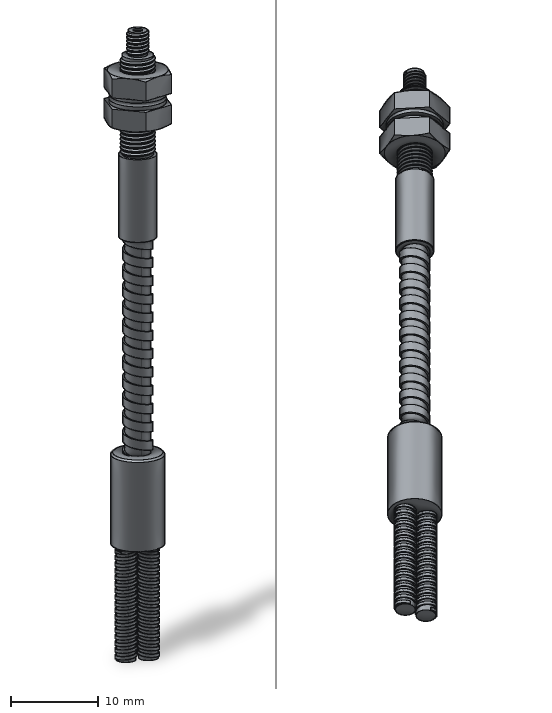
import cadquery as cq
TAIL_LENGTH = 14.0
COLLAR_LENGTH = 11.0
ARMOUR_LENGTH = 26.0
SLEEVE_LENGTH = 10.0
THREAD_LENGTH = 12.0
TIP_LENGTH = 3.0

COLLAR_BOTTOM = TAIL_LENGTH
ARMOUR_BOTTOM = COLLAR_BOTTOM + COLLAR_LENGTH
SLEEVE_BOTTOM = ARMOUR_BOTTOM + ARMOUR_LENGTH
THREAD_BOTTOM = SLEEVE_BOTTOM + SLEEVE_LENGTH
TIP_BOTTOM = THREAD_BOTTOM + THREAD_LENGTH
TIP_TOP = TIP_BOTTOM + TIP_LENGTH

COLLAR_DIAMETER = 6.2
COLLAR_CHAMFER = 0.2
SLEEVE_DIAMETER = 4.4
SLEEVE_CHAMFER = 0.1

ARMOUR_DIAMETER = 3.5
ARMOUR_RIB_HEIGHT = 0.2
ARMOUR_PITCH = 2.2
ARMOUR_INSERT = 2.5

CABLE_DIAMETER = 2.6
CABLE_RIB_HEIGHT = 0.15
CABLE_PITCH = 0.8
CABLE_SPACING = 2.65
CABLE_INSERT = 1.0
CABLE_OFFSET_X = -0.2

THREAD_DIAMETER = 4.0
THREAD_PITCH = 0.5
TIP_DIAMETER = 2.6
TIP_PITCH = 0.45
THREAD_DEPTH_SHARE = 0.4
THREAD_FOOT_SHARE = 0.85
THREAD_CREST_SHARE = 0.12

RIB_START_ANGLE = 180
RIB_SINK = 0.1
FUSE_TOLERANCE = 1e-4

RECESS_DIAMETER = 1.15
RECESS_DEPTH = 0.2

NUT_CORNER_DIAMETER = 8.09
NUT_TURN = -2.1
NUT_HEIGHT = 3.0
NUT_FACE_DIAMETER = 7.0
NUT_CHAMFER_HEIGHT = 0.2
FLANGE_DIAMETER = 6.6
FLANGE_HEIGHT = 0.45
NUT_GAP = 0.45
UPPER_NUT_TOP = 71.2


def cylinder(diameter, bottom, height):
    return cq.Workplane("XY").workplane(offset=bottom).circle(diameter / 2).extrude(height)


def ribbed_rod(diameter, rib_height, pitch, foot, crest, bottom, length, left_handed=False):
    """Rod with one helical rib, `foot` wide at its root and `crest` wide at its top.

    The rib starts flush with the lower end of the rod and stops flush with the upper end.
    """
    crest_radius = diameter / 2
    root_radius = crest_radius - rib_height
    sunk_radius = root_radius - RIB_SINK
    path = cq.Wire.makeHelix(pitch, length - foot, root_radius, lefthand=left_handed)
    rib = (
        cq.Workplane("XZ")
        .moveTo(sunk_radius, 0)
        .lineTo(root_radius, 0)
        .lineTo(crest_radius, (foot - crest) / 2)
        .lineTo(crest_radius, (foot + crest) / 2)
        .lineTo(root_radius, foot)
        .lineTo(sunk_radius, foot)
        .close()
        .sweep(cq.Workplane(obj=path), isFrenet=True)
        .rotate((0, 0, 0), (0, 0, 1), RIB_START_ANGLE)
        .translate((0, 0, bottom))
    )
    return cylinder(2 * root_radius, bottom, length).union(rib, clean=False, tol=FUSE_TOLERANCE)


def square_ribbed_rod(diameter, rib_height, pitch, bottom, length, left_handed=False):
    return ribbed_rod(diameter, rib_height, pitch, pitch / 2, pitch / 2, bottom, length, left_handed)


def threaded_rod(diameter, pitch, bottom, length):
    depth, foot, crest = (
        share * pitch for share in (THREAD_DEPTH_SHARE, THREAD_FOOT_SHARE, THREAD_CREST_SHARE)
    )
    return ribbed_rod(diameter, depth, pitch, foot, crest, bottom, length)


def make_cables():
    """The pair of cables, standing on Z = 0 and reaching into the collar."""
    front_cable = square_ribbed_rod(
        CABLE_DIAMETER, CABLE_RIB_HEIGHT, CABLE_PITCH, 0, TAIL_LENGTH + CABLE_INSERT
    )
    front_cable = front_cable.translate((CABLE_OFFSET_X, -CABLE_SPACING / 2, 0))
    return [front_cable, front_cable.mirror("XZ")]


def make_probe():
    """Everything along the axis, from the cables to the tip, as one body."""
    collar = cylinder(COLLAR_DIAMETER, COLLAR_BOTTOM, COLLAR_LENGTH).faces(">Z").chamfer(COLLAR_CHAMFER)
    armour = square_ribbed_rod(
        ARMOUR_DIAMETER,
        ARMOUR_RIB_HEIGHT,
        ARMOUR_PITCH,
        ARMOUR_BOTTOM - ARMOUR_INSERT,
        ARMOUR_LENGTH + 2 * ARMOUR_INSERT,
        left_handed=True,
    )
    sleeve = cylinder(SLEEVE_DIAMETER, SLEEVE_BOTTOM, SLEEVE_LENGTH).faces("<Z").chamfer(SLEEVE_CHAMFER)
    thread = threaded_rod(THREAD_DIAMETER, THREAD_PITCH, THREAD_BOTTOM, THREAD_LENGTH)
    tip = threaded_rod(TIP_DIAMETER, TIP_PITCH, TIP_BOTTOM, TIP_LENGTH)
    recess = cylinder(RECESS_DIAMETER, TIP_TOP - RECESS_DEPTH, RECESS_DEPTH)

    sections = [*make_cables(), armour, sleeve, thread, tip.cut(recess, clean=False)]
    return cq.Workplane(obj=collar.val().fuse(*[section.solids().val() for section in sections]))


def make_nut():
    """Nut with its outer face on Z = 0 and its flange at the bottom."""
    hexagon_height = NUT_HEIGHT - FLANGE_HEIGHT
    corner_radius = NUT_CORNER_DIAMETER / 2
    hexagon = (
        cq.Workplane("XY")
        .polygon(6, NUT_CORNER_DIAMETER)
        .extrude(-hexagon_height)
        .rotate((0, 0, 0), (0, 0, 1), NUT_TURN)
    )
    chamfered_blank = (
        cq.Workplane("XZ")
        .lineTo(NUT_FACE_DIAMETER / 2, 0)
        .lineTo(corner_radius, -NUT_CHAMFER_HEIGHT)
        .lineTo(corner_radius, -hexagon_height)
        .lineTo(0, -hexagon_height)
        .close()
        .revolve(360, (0, 0, 0), (0, 1, 0))
    )
    flange = cylinder(FLANGE_DIAMETER, -NUT_HEIGHT, FLANGE_HEIGHT)
    bore = cylinder(THREAD_DIAMETER, -NUT_HEIGHT, NUT_HEIGHT)
    return hexagon.intersect(chamfered_blank).union(flange).cut(bore)


def make_nuts():
    """The upper nut and, below it, the same nut turned over."""
    nut = make_nut()
    lower_nut_bottom = UPPER_NUT_TOP - 2 * NUT_HEIGHT - NUT_GAP
    upper_nut = nut.translate((0, 0, UPPER_NUT_TOP))
    lower_nut = nut.mirror("XY").translate((0, 0, lower_nut_bottom))
    return [upper_nut, lower_nut]


probe = make_probe()
nuts = make_nuts()

result = cq.Compound.makeCompound([body.solids().val() for body in (probe, *nuts)])